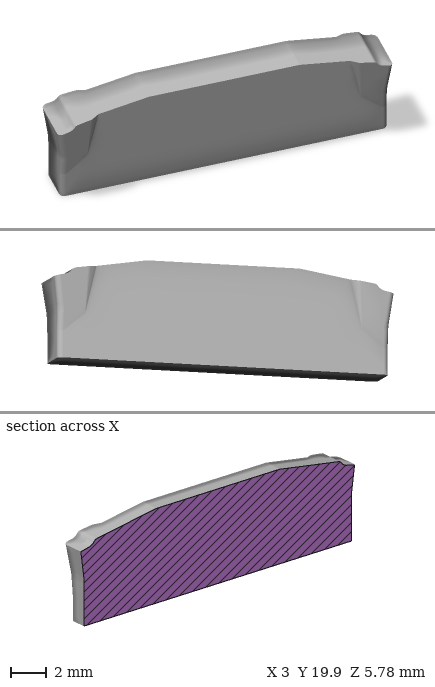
import cadquery as cq
import math


body_width = 2.32
body_half_length = 9.69
height = 5.78
corner_radius = 0.3

flat_half_length = 4.47
roof_angle = math.radians(9)

tip_y = 9.93
tip_z = 4.6
relief_angle = math.radians(7.6)
relief_blend_length = 0.235

land_length = 0.6
land_angle = math.radians(12)
groove_exit_y = 8.96
groove_exit_z = 4.97
shoulder_y = 8.73

head_half_width = 1.5
foot_z = 1.55
apex_y = 8.1
apex_z = 2.59
head_base_z = 0.9

neck_body_y = 7.45
neck_corner_y = 7.92
neck_blend_length = 0.08

head_stock_width = 4.0
cutter_size = 30.0
cutter_depth = 5.0
blend_cutter_start = 0.02
blend_cutter_end = 1.3


def roof_z(y):
    """Height of the sloping part of the roof at a given Y."""
    return height - (y - flat_half_length) * math.tan(roof_angle)


def outward_normal(p1, p2, p3):
    """Normal of the plane through three points, pointing towards +X."""
    normal = (p2 - p1).cross(p3 - p1)
    return normal if normal.x > 0 else normal * -1


half_width = body_width / 2
foot = cq.Vector(half_width, body_half_length - corner_radius, foot_z)
apex = cq.Vector(half_width, apex_y, apex_z)
ear_y = tip_y - corner_radius
ear = cq.Vector(head_half_width, ear_y, tip_z + corner_radius * math.tan(land_angle))
neck_top = cq.Vector(half_width, neck_body_y, roof_z(neck_body_y))

flank_normal = outward_normal(foot, ear, apex)


def flank_x(y, z):
    """Half width of the head flank plane at a given Y and Z."""
    rise = flank_normal.y * (y - apex.y) + flank_normal.z * (z - apex.z)
    return apex.x - rise / flank_normal.x


neck_corner_z = roof_z(neck_corner_y)
neck_corner = cq.Vector(flank_x(neck_corner_y, neck_corner_z), neck_corner_y, neck_corner_z)
neck_normal = outward_normal(apex, neck_top, neck_corner)


def make_side_profile(width):
    """Half of the side outline, extruded symmetrically to a given width."""
    relief_knee_z = tip_z - (tip_y - body_half_length) / math.tan(relief_angle)
    blend_top_y = body_half_length + relief_blend_length * math.sin(relief_angle)
    blend_top_z = relief_knee_z + relief_blend_length * math.cos(relief_angle)
    land_end_y = tip_y - land_length
    land_end_z = tip_z + land_length * math.tan(land_angle)
    return (
        cq.Workplane("YZ")
        .moveTo(0, 0)
        .lineTo(body_half_length, 0)
        .lineTo(body_half_length, relief_knee_z - relief_blend_length)
        .tangentArcPoint((blend_top_y, blend_top_z), relative=False)
        .lineTo(tip_y, tip_z)
        .lineTo(land_end_y, land_end_z)
        .tangentArcPoint((groove_exit_y, groove_exit_z), relative=False)
        .tangentArcPoint((shoulder_y, roof_z(shoulder_y)), relative=False)
        .lineTo(flat_half_length, height)
        .lineTo(0, height)
        .close()
        .extrude(width / 2, both=True)
    )


def cut_both_sides(solid, cutter):
    """Remove a cutter and its mirror image across X = 0."""
    return solid.cut(cutter).cut(cutter.mirror("YZ"))


def make_plane_cutter(normal):
    """Block beyond the plane through the apex with the given outward normal."""
    plane = cq.Plane(origin=apex.toTuple(), normal=normal.toTuple())
    return cq.Workplane(plane).rect(cutter_size, cutter_size).extrude(cutter_depth)


def make_neck_blend_cutter():
    """Conical cutter that rounds the edge between flank and neck, narrowing towards the apex."""
    up = cq.Vector(0, 0, 1)
    along_flank = up.cross(flank_normal).normalized()
    along_neck = up.cross(neck_normal).normalized() * -1
    on_flank = neck_corner + along_flank * neck_blend_length
    on_neck = neck_corner + along_neck * neck_blend_length
    outside = neck_corner - (along_flank + along_neck) * neck_blend_length

    def section(scale):
        start, end, outer = [apex + (p - apex) * scale for p in (on_flank, on_neck, outside)]
        return cq.Wire.assembleEdges([
            cq.Edge.makeTangentArc(start, along_flank * -1, end),
            cq.Edge.makeLine(end, outer),
            cq.Edge.makeLine(outer, start),
        ])

    return cq.Workplane(cq.Solid.makeLoft([section(blend_cutter_start), section(blend_cutter_end)], True))


def make_body():
    """Slim body with rounded vertical end corners."""
    rounded_bar = (
        cq.Workplane("XY")
        .box(body_width, body_half_length, height, centered=(True, False, False))
        .edges("|Z and >Y")
        .fillet(corner_radius)
    )
    return rounded_bar.intersect(make_side_profile(body_width))


def make_head():
    """Wide head with tapered flanks, rounded end corners and necks."""
    head = make_side_profile(head_stock_width)
    below = cq.Workplane("XY").box(
        cutter_size, cutter_size, head_base_z, centered=(True, True, False)
    )
    head = cut_both_sides(head.cut(below), make_plane_cutter(flank_normal))

    corner_y = (body_half_length + ear_y) / 2
    for side in (-1, 1):
        inner = (side * half_width / 2, corner_y, head_base_z)
        outer = (side * head_stock_width, tip_y, height)
        head = head.edges(cq.selectors.BoxSelector(inner, outer)).fillet(corner_radius)

    head = cut_both_sides(head, make_plane_cutter(neck_normal))
    return cut_both_sides(head, make_neck_blend_cutter())


half = make_body().union(make_head())
result = half.union(half.mirror("XZ")).clean()